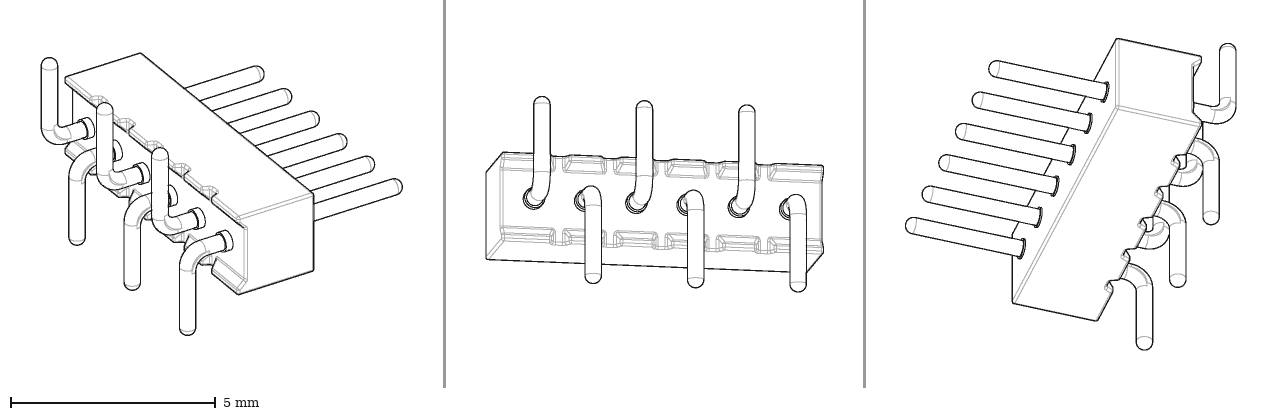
import cadquery as cq
import math

pin_count = 6
pitch = 1.27
total_depth = 6.35
total_height = 4.62

body_length = 8.0
body_depth = 2.22
body_height = 2.22
body_rear_y = 0.18
body_front_y = body_rear_y - body_depth
edge_radius = 0.06

recess_depth = 0.22
lip_thickness = 0.18
recess_slope_rise = 0.21
recess_floor_y = body_front_y + recess_depth

notch_floor_width = 0.26
notch_mouth_width = 0.46

pin_diameter = 0.41
pin_radius = pin_diameter / 2
bend_inner_radius = 0.3
bend_outer_radius = 0.6

sleeve_diameter = 0.5
sleeve_front_length = 0.19
sleeve_rear_length = 0.04


def body_block():
    """Body extruded from its C-shaped side profile, before the notches and rounding."""
    half_height = body_height / 2
    lip_z = half_height - lip_thickness
    floor_z = lip_z - recess_slope_rise
    profile = [
        (body_rear_y, -half_height),
        (body_rear_y, half_height),
        (body_front_y, half_height),
        (body_front_y, lip_z),
        (recess_floor_y, floor_z),
        (recess_floor_y, -floor_z),
        (body_front_y, -lip_z),
        (body_front_y, -half_height),
    ]
    return cq.Workplane("YZ").polyline(profile).close().extrude(body_length / 2, both=True)


def notch(x):
    """Trapezoidal cutter reaching back to the recess floor, full body height."""
    return (
        cq.Workplane("XY")
        .moveTo(x - notch_mouth_width / 2, body_front_y)
        .lineTo(x - notch_floor_width / 2, recess_floor_y)
        .lineTo(x + notch_floor_width / 2, recess_floor_y)
        .lineTo(x + notch_mouth_width / 2, body_front_y)
        .close()
        .extrude(body_height, both=True)
    )


def cylinder_along_y(diameter, start_y, end_y):
    return cq.Workplane("XZ", origin=(0, start_y, 0)).circle(diameter / 2).extrude(start_y - end_y)


def bent_half(start_y, leg_y, path_radius, leg_end_z, round_side):
    """Half-round bar swept from the body to the leg end; +1 is the inside of the bend, -1 the outside."""
    path = (
        cq.Workplane("YZ")
        .moveTo(start_y, 0)
        .lineTo(leg_y + path_radius, 0)
        .tangentArcPoint((leg_y, path_radius), relative=False)
        .lineTo(leg_y, leg_end_z)
    )
    return (
        cq.Workplane("XZ", origin=(0, start_y, 0))
        .moveTo(-pin_radius, 0)
        .threePointArc((0, round_side * pin_radius), (pin_radius, 0))
        .close()
        .sweep(path)
    )


def bend_filler(leg_y, outer_path_radius, inner_path_radius):
    """Lens-shaped web between the outer and inner halves of the bend."""
    diagonal = 1 - math.sqrt(0.5)
    outer_mid = outer_path_radius * diagonal
    inner_mid = inner_path_radius * diagonal
    return (
        cq.Workplane("YZ")
        .moveTo(leg_y + inner_path_radius, 0)
        .lineTo(leg_y + outer_path_radius, 0)
        .threePointArc((leg_y + outer_mid, outer_mid), (leg_y, outer_path_radius))
        .lineTo(leg_y, inner_path_radius)
        .threePointArc((leg_y + inner_mid, inner_mid), (leg_y + inner_path_radius, 0))
        .close()
        .extrude(pin_radius, both=True)
    )


def upward_pin():
    """Pin at X = 0 with its sleeve, straight tail to the rear and leg bent upwards."""
    middle_y = body_rear_y - body_depth / 2
    tail_end_y = total_depth / 2 - pin_radius
    leg_y = pin_radius - total_depth / 2
    leg_end_z = total_height / 2 - pin_radius
    outer_path_radius = bend_outer_radius - pin_radius
    inner_path_radius = bend_inner_radius + pin_radius
    tip = cq.Workplane("XY").sphere(pin_radius)
    sleeve = cylinder_along_y(
        sleeve_diameter, body_rear_y + sleeve_rear_length, recess_floor_y - sleeve_front_length
    )
    return (
        bent_half(middle_y, leg_y, outer_path_radius, leg_end_z, -1)
        .union(bent_half(middle_y, leg_y, inner_path_radius, leg_end_z, 1))
        .union(bend_filler(leg_y, outer_path_radius, inner_path_radius))
        .union(cylinder_along_y(pin_diameter, tail_end_y, middle_y))
        .union(tip.translate((0, tail_end_y, 0)))
        .union(tip.translate((0, leg_y, leg_end_z)))
        .union(sleeve)
    )


pin_xs = [(i - (pin_count - 1) / 2) * pitch for i in range(pin_count)]

body = body_block()
for left_x, right_x in zip(pin_xs, pin_xs[1:]):
    body = body.cut(notch((left_x + right_x) / 2))
result = body.edges().fillet(edge_radius)

pin_up = upward_pin()
pin_down = pin_up.rotate((0, 0, 0), (0, 1, 0), 180)
for i, x in enumerate(pin_xs):
    pin = pin_up if i % 2 == 0 else pin_down
    result = result.union(pin.translate((x, 0, 0)))